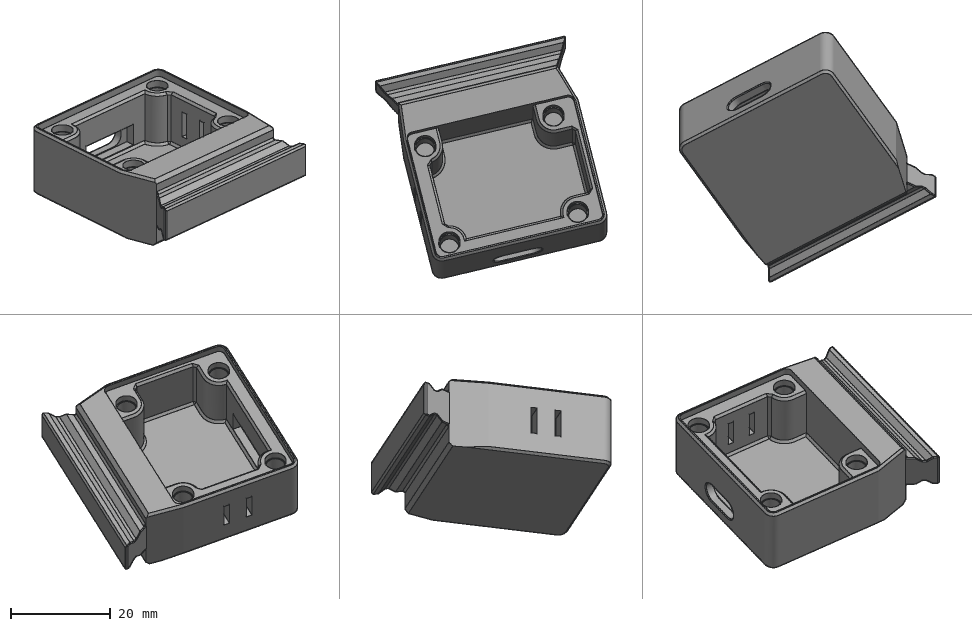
import cadquery as cq
import math

body_width = 36.0
body_height = 15.0
corner_radius = 2.0
edge_chamfer = 0.5
slope_angle = 45.0

taper_start_x = 26.0
nose_end_x = 34.05
nose_front_inset = 2.45
nose_back_inset = 0.85
nose_chamfer = 0.8

rim_width = 0.8
recess_depth = 1.5
recess_end_x = 27.3
ledge_z = body_height - recess_depth

post_center_x = 14.0
post_center_y = 18.75
post_spacing_x = 20.5
post_spacing_y = 26.5
post_radius = 3.5
hole_diameter = 4.3
hole_depth = 1.5
pilot_diameter = 3.8
pilot_depth = 5.0

pocket_left_x = 3.75
pocket_front_y = 1.95
pocket_back_y = 32.0
floor_z = 1.85
pocket_chamfer = 0.5
corner_filler_size = 3.0
filler_angle = math.degrees(math.atan(math.sqrt(0.5)))

port_length = 10.0
port_height = 4.3
port_z = 4.85
port_chamfer = 0.2
port_wall = 1.85

relief_length = 13.2
relief_height = 4.7

slot_width = 1.25
slot_spacing = 5.0
slot_bottom_z = 4.65
slot_top_z = 10.3

rail_end_x = 40.15
rail_length = 39.13
rail_bottom_z = 4.7
rail_top_z = 12.0
rail_center_y = 18.8
rail_tip_width = 0.65
flare_angle = 30.0
rail_half_length = rail_length / 2
flare_end_x = rail_end_x - rail_tip_width
rail_root_x = 33.87
rail_tip_chamfer = 0.4
rail_edge_chamfer = 0.2
rail_root_chamfer = 0.45
rail_root_inset = 0.15
groove_center_x = 37.28
groove_floor_width = 0.65
groove_top_width = 3.1
groove_depth = 0.95


def block(x_start, x_end, y_start, y_end, z_start, z_end):
    """Box given by its limits along X, Y and Z."""
    size = (x_end - x_start, y_end - y_start, z_end - z_start)
    return cq.Workplane("XY").box(*size, centered=False).translate((x_start, y_start, z_start))


def extruded_along_y(points, y_start, y_end):
    """Prism with an X-Z outline, running from y_start to y_end."""
    prism = cq.Workplane("XZ").polyline(points).close().extrude(y_start - y_end)
    return prism.translate((0, y_start, 0))


def make_body():
    """Rounded box whose +X end tapers in from both sides."""
    box = cq.Workplane("XY").box(nose_end_x, body_width, body_height, centered=False)
    box = box.edges("|Z and <X").fillet(corner_radius)
    box = box.faces("<Z").edges("not >X").chamfer(edge_chamfer)
    taper = (
        cq.Workplane("XY")
        .polyline([
            (0, 0),
            (taper_start_x, 0),
            (nose_end_x, nose_front_inset),
            (nose_end_x, body_width - nose_back_inset),
            (taper_start_x, body_width),
            (0, body_width),
        ])
        .close()
        .extrude(body_height)
    )
    body = box.intersect(taper)
    body = body.faces(">Z").edges("not >X").chamfer(edge_chamfer)
    nose_profile = [
        (0, 0),
        (nose_end_x - nose_chamfer, 0),
        (nose_end_x, nose_chamfer),
        (nose_end_x, body_height - nose_chamfer),
        (nose_end_x - nose_chamfer, body_height),
        (0, body_height),
    ]
    return body.intersect(extruded_along_y(nose_profile, 0, body_width))


def post_positions():
    """Screw post centers as (x, y, x side, y side)."""
    for side_x in (-1, 1):
        for side_y in (-1, 1):
            x = post_center_x + side_x * post_spacing_x / 2
            y = post_center_y + side_y * post_spacing_y / 2
            yield x, y, side_x, side_y


def make_recess():
    """Shallow seat for a lid, open at the top."""
    recess = block(rim_width, recess_end_x, rim_width, body_width - rim_width, ledge_z, body_height)
    return recess.edges("|Z").fillet(corner_radius - rim_width)


def pocket_layer(z_start, height, margin, taper):
    """Slice of the pocket: a rectangle less the rounded corner posts, sides sloped by taper degrees.

    At z_start the outline lies margin outside the straight pocket walls.
    """
    length = recess_end_x - pocket_left_x + 2 * margin
    depth = pocket_back_y - pocket_front_y + 2 * margin
    layer = cq.Workplane("XY").rect(length, depth).extrude(height, taper=taper)
    center_x = (pocket_left_x + recess_end_x) / 2
    center_y = (pocket_front_y + pocket_back_y) / 2
    layer = layer.translate((center_x, center_y, z_start))
    radius = post_radius - margin
    far = 3 * post_radius
    for x, y, side_x, side_y in post_positions():
        bend = radius * math.sqrt(0.5)
        post = (
            cq.Workplane("XY", origin=(x, y, z_start))
            .moveTo(-side_x * radius, 0)
            .threePointArc((-side_x * bend, -side_y * bend), (0, -side_y * radius))
            .lineTo(side_x * far, -side_y * radius)
            .lineTo(side_x * far, side_y * far)
            .lineTo(-side_x * radius, side_y * far)
            .close()
            .extrude(height, taper=-taper)
        )
        corner_x = x - side_x * (post_radius + pocket_chamfer)
        wall_y = (pocket_back_y if side_y > 0 else pocket_front_y) + side_y * margin
        half_filler = corner_filler_size / 2 * math.sqrt(0.5)
        filler = (
            cq.Workplane("XY")
            .rect(corner_filler_size, corner_filler_size)
            .extrude(height, taper=filler_angle if taper else 0)
            .rotate((0, 0, 0), (0, 0, 1), 45)
            .translate((corner_x + side_x * half_filler, wall_y + side_y * half_filler, z_start))
        )
        layer = layer.cut(post).cut(filler)
    return layer


def make_pocket():
    """Main pocket with a sloped foot along the floor and a sloped rim at the ledge."""
    foot_top_z = floor_z + pocket_chamfer
    rim_start_z = ledge_z - pocket_chamfer
    foot = pocket_layer(floor_z, pocket_chamfer, -pocket_chamfer, -slope_angle)
    walls = pocket_layer(foot_top_z, rim_start_z - foot_top_z, 0, 0)
    rim = pocket_layer(rim_start_z, pocket_chamfer, 0, -slope_angle)
    flush_limit = block(0, recess_end_x, 0, body_width, 0, body_height)
    return foot.union(walls).union(rim).intersect(flush_limit)


def make_post_holes():
    """Stepped blind hole down the middle of each post."""
    holes = cq.Workplane("XY")
    for x, y, _, _ in post_positions():
        wide = cq.Workplane("XY").circle(hole_diameter / 2).extrude(-hole_depth)
        pilot = cq.Workplane("XY").circle(pilot_diameter / 2).extrude(-pilot_depth)
        holes = holes.union(wide.union(pilot).translate((x, y, ledge_z)))
    return holes


def make_port():
    """Stadium-shaped opening through the -X wall with a chamfered mouth and a wider relief inside."""
    plane = cq.Workplane("YZ", origin=(0, post_center_y, port_z))
    port = plane.slot2D(port_length, port_height).extrude(pocket_left_x)
    mouth = (
        plane.slot2D(port_length + 2 * port_chamfer, port_height + 2 * port_chamfer)
        .extrude(port_chamfer, taper=slope_angle)
    )
    relief = block(
        port_wall, pocket_left_x + pocket_chamfer,
        post_center_y - relief_length / 2, post_center_y + relief_length / 2,
        port_z - relief_height / 2, port_z + relief_height / 2,
    )
    return port.union(mouth).union(relief)


def make_wall_slots():
    """Two upright slots from the pocket out through the +Y wall."""
    slots = cq.Workplane("XY")
    for side in (-1, 1):
        x = post_center_x + side * slot_spacing / 2
        slots = slots.union(
            block(
                x - slot_width / 2, x + slot_width / 2,
                pocket_back_y - pocket_chamfer, body_width,
                slot_bottom_z, slot_top_z,
            )
        )
    return slots


def groove_outline(plane, stretch):
    """Groove section around its top center, widened by stretch and carried on above the surface."""
    half_floor = groove_floor_width / 2 * stretch
    half_far = (groove_top_width - groove_floor_width / 2) * stretch
    return (
        cq.Workplane(plane)
        .polyline([
            (-half_far, groove_depth),
            (-half_floor, -groove_depth),
            (half_floor, -groove_depth),
            (half_far, groove_depth),
        ])
        .close()
    )


def make_top_groove():
    """Groove along the top of the rail, with chamfered mouths in both flared sides."""
    along_y = cq.Plane((groove_center_x, rail_center_y, rail_top_z), (1, 0, 0), (0, -1, 0))
    groove = groove_outline(along_y, 1).extrude(rail_half_length, both=True)

    flare = math.radians(flare_angle)
    outward = cq.Vector(-math.sin(flare), -math.cos(flare), 0)
    along_flare = cq.Vector(math.cos(flare), -math.sin(flare), 0)
    half_length_at_groove = rail_half_length - (flare_end_x - groove_center_x) * math.tan(flare)
    mouth_center = cq.Vector(groove_center_x, rail_center_y - half_length_at_groove, rail_top_z)
    mouth_plane = cq.Plane(mouth_center - outward * rail_edge_chamfer, along_flare, outward)
    mouth = groove_outline(mouth_plane, 1 / math.cos(flare)).extrude(rail_edge_chamfer, taper=-slope_angle)
    far_mouth = mouth.mirror("XZ", (0, rail_center_y, 0))
    return groove.union(mouth).union(far_mouth)


def make_root_strip(surface_z, side):
    """Small triangular strip in the corner between the nose and the top or bottom of the rail."""
    outline = [
        (nose_end_x, surface_z + side * rail_root_chamfer),
        (nose_end_x + rail_root_chamfer, surface_z),
        (nose_end_x, surface_z),
    ]
    y_start = nose_front_inset + rail_root_inset
    y_end = body_width - nose_back_inset - rail_root_inset
    return extruded_along_y(outline, y_start, y_end)


def make_rail():
    """Flared bar with a trapezoidal groove along its top and bottom."""
    root_half_length = rail_half_length - (flare_end_x - rail_root_x) * math.tan(math.radians(flare_angle))
    rail = (
        cq.Workplane("XY", origin=(0, rail_center_y, rail_bottom_z))
        .polyline([
            (rail_root_x, -root_half_length),
            (flare_end_x, -rail_half_length),
            (rail_end_x, -rail_half_length),
            (rail_end_x, rail_half_length),
            (flare_end_x, rail_half_length),
            (rail_root_x, root_half_length),
        ])
        .close()
        .extrude(rail_top_z - rail_bottom_z)
    )
    rail = rail.faces(">X").edges("|Y").chamfer(rail_tip_chamfer)
    rail = rail.edges("not (|Y or |Z)").edges("#Z").chamfer(rail_edge_chamfer)
    rail = rail.faces(">X").edges("|Z").chamfer(rail_edge_chamfer)
    groove = make_top_groove()
    rail_center_z = (rail_bottom_z + rail_top_z) / 2
    rail = rail.cut(groove).cut(groove.mirror("XY", (0, 0, rail_center_z)))
    rail = rail.union(make_root_strip(rail_top_z, 1))
    return rail.union(make_root_strip(rail_bottom_z, -1))


result = (
    make_body()
    .union(make_rail())
    .cut(make_recess())
    .cut(make_pocket())
    .cut(make_post_holes())
    .cut(make_port())
    .cut(make_wall_slots())
)